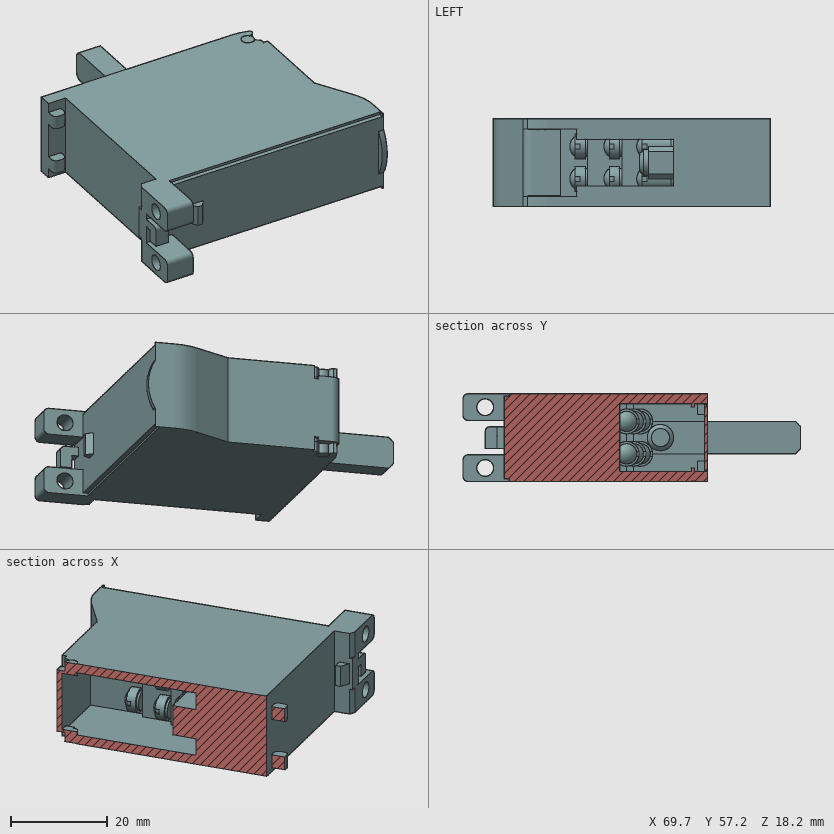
import cadquery as cq
import math

THICKNESS = 18.2
HALF = THICKNESS / 2
BODY_END = 42.0
BODY_TOP = 51.1
HUMP_TOP = 57.2
RAIL_SEAT = 4.1
CORNER_RADIUS = 2.0

HUMP_START = 24.45
HUMP_ANGLE = math.radians(30)
HUMP_RADIUS = 10.05

STEP_WIDTH = 1.05
STEP_DEPTH = 0.55
STEP_TOP_GAP = 0.35

LEG_LENGTH = 2.9
TAB_END = 5.2
TAB_HEIGHT = 3.0
TAB_WIDTH = 3.0
TAB_OFFSET = 5.45
TAB_RADIUS = 1.05

FOOT_START = 39.0
FOOT_END = 50.5
FOOT_HEIGHT = 6.2
FOOT_BEVEL_LENGTH = 1.1
FOOT_BEVEL_HEIGHT = 0.7
FOOT_RADIUS = 1.1
ARM_GAP = 7.05
SCREW_HOLE_X = 45.9
SCREW_HOLE_OFFSET = 6.3
SCREW_HOLE_DIAMETER = 3.4

LATCH_WIDTH = 4.5
LATCH_TIP = 37.1
LATCH_HEIGHT = 3.0
LATCH_TIP_BOTTOM = 1.95
HOOK_END = 45.9
HOOK_RADIUS = 1.0
HOOK_BAR = 1.9
BUMP_END = 43.5
BUMP_BOTTOM = 10.6
BUMP_TOP = 13.65
BUMP_SLOPE = 1.0
LIP_HEIGHT = 1.25
LIP_RADIUS = 10.05

HANDLE_LENGTH = 19.2
HANDLE_BOTTOM = 20.0
HANDLE_WIDTH = 5.15
HANDLE_HEIGHT = 6.7
HANDLE_CHAMFER = 1.05

FRONT_WALL = 2.1
CAVITY_WIDTH = 13.95
CAVITY_DEPTH = 18.1
CAVITY_TOP = 49.9
WIDE_WINDOW_BOTTOM = 40.0
NARROW_WINDOW_WIDTH = 9.6
COVER_BOTTOM = 43.3
COVER_THICKNESS = 0.7
COVER_GAP = 0.15

TERRACES = ((37.7, 16.7), (30.7, 15.3))
LAST_HEAD_FACE = 13.95
LAST_HEAD_HEIGHT = 6.5
HEAD_HEIGHT = 2.6
HEAD_RADIUS = 2.6
HEAD_OFFSET = 3.35
NECK_RADIUS = 2.1
NECK_HEIGHT = 0.5
DOME_RADIUS = 2.1
DOME_HEIGHT = 1.1
NOTCH_WIDTH = 1.05
NOTCH_DEPTH = 1.0

KNOB_X = 9.75
KNOB_RADIUS = 2.7
KNOB_HEIGHT = 1.8
KNOB_BEVEL = 0.85

PIN_X = 3.1
PIN_Y = 47.95
PIN_RADIUS = 1.4
PIN_SINK = 0.1
EAR_THICKNESS = 0.7
CHEEK_INSIDE = CAVITY_WIDTH / 2
EAR_INSIDE = CHEEK_INSIDE - EAR_THICKNESS
EAR_START = 0.7
COVER_END = 4.95
RECESS_END = 5.8
RECESS_FLOOR = 50.1
RECESS_MARGIN = 0.7
CHEEK_CURVE_START = 46.3
CHEEK_CURVE_RADIUS = 13.95
CHEEK_CREST_END = 1.4
FRONT_SHOULDER_RADIUS = 1.1
REAR_SHOULDER_RADIUS = 1.95
SADDLE_START = 2.1
SADDLE_END = 4.2
SADDLE_Y = 48.9


def box(x0, x1, y0, y1, z0, z1):
    """Box between two opposite corners."""
    return cq.Workplane("XY").box(x1 - x0, y1 - y0, z1 - z0, centered=False).translate((x0, y0, z0))


def centred_box(x0, x1, y0, y1, width):
    """Box of the given Z width, centred at mid-thickness."""
    return box(x0, x1, y0, y1, -width / 2, width / 2)


def both_sides(shape):
    """The shape together with its mirror image below mid-thickness."""
    return shape.union(shape.mirror("XY"))


def make_housing():
    rise = HUMP_TOP - BODY_TOP
    crest_x = HUMP_START + rise / math.tan(HUMP_ANGLE)
    tangent = HUMP_RADIUS * math.tan(HUMP_ANGLE / 2)
    arc_end = crest_x + tangent
    arc_mid = (
        arc_end - HUMP_RADIUS * math.sin(HUMP_ANGLE / 2),
        HUMP_TOP - HUMP_RADIUS * (1 - math.cos(HUMP_ANGLE / 2)),
    )
    arc_start = (
        crest_x - tangent * math.cos(HUMP_ANGLE),
        HUMP_TOP - tangent * math.sin(HUMP_ANGLE),
    )
    housing = (
        cq.Workplane("XY")
        .workplane(offset=-HALF)
        .moveTo(0, 0)
        .lineTo(LEG_LENGTH, 0)
        .lineTo(LEG_LENGTH, RAIL_SEAT)
        .lineTo(FOOT_START, RAIL_SEAT)
        .lineTo(FOOT_START, 0)
        .lineTo(BODY_END, 0)
        .lineTo(BODY_END, HUMP_TOP)
        .lineTo(arc_end, HUMP_TOP)
        .threePointArc(arc_mid, arc_start)
        .lineTo(HUMP_START, BODY_TOP)
        .lineTo(CORNER_RADIUS, BODY_TOP)
        .radiusArc((0, BODY_TOP - CORNER_RADIUS), -CORNER_RADIUS)
        .close()
        .extrude(THICKNESS)
    )
    strip = box(
        BODY_END - STEP_WIDTH, BODY_END,
        FOOT_HEIGHT, HUMP_TOP - STEP_TOP_GAP,
        HALF - STEP_DEPTH, HALF,
    )
    return housing.cut(both_sides(strip))


def make_tabs():
    tab = centred_box(LEG_LENGTH, TAB_END, 0, TAB_HEIGHT, TAB_WIDTH).edges("|Z and >X").fillet(TAB_RADIUS)
    return both_sides(tab.translate((0, 0, TAB_OFFSET)))


def make_foot():
    foot = centred_box(FOOT_START, FOOT_END, 0, FOOT_HEIGHT, THICKNESS)
    foot = foot.cut(centred_box(BODY_END, FOOT_END, 0, FOOT_HEIGHT, ARM_GAP))
    foot = foot.edges("|Y and >X").fillet(FOOT_RADIUS)
    holes = (
        cq.Workplane("XZ")
        .pushPoints([(SCREW_HOLE_X, SCREW_HOLE_OFFSET), (SCREW_HOLE_X, -SCREW_HOLE_OFFSET)])
        .circle(SCREW_HOLE_DIAMETER / 2)
        .extrude(-FOOT_HEIGHT)
    )
    return foot.cut(holes)


def make_foot_bevels():
    """Wedges removed from the lower front edge of both foot arms."""
    wedge = (
        cq.Workplane("XY")
        .polyline([(FOOT_START, 0), (FOOT_START + FOOT_BEVEL_LENGTH, 0), (FOOT_START, FOOT_BEVEL_HEIGHT)])
        .close()
        .extrude(HALF - ARM_GAP / 2)
    )
    return both_sides(wedge.translate((0, 0, ARM_GAP / 2)))


def make_latch():
    slope = FOOT_BEVEL_HEIGHT / FOOT_BEVEL_LENGTH
    root_bottom = LATCH_TIP_BOTTOM - slope * (FOOT_START - LATCH_TIP)
    nose = (
        cq.Workplane("XY")
        .workplane(offset=-LATCH_WIDTH / 2)
        .polyline([
            (LATCH_TIP, LATCH_HEIGHT),
            (LATCH_TIP, LATCH_TIP_BOTTOM),
            (FOOT_START, root_bottom),
            (FOOT_START, LATCH_HEIGHT),
        ])
        .close()
        .extrude(LATCH_WIDTH)
    )
    hook = centred_box(BODY_END, HOOK_END, 0, LATCH_HEIGHT, LATCH_WIDTH)
    hook = hook.edges("|Y and >X and >Z").fillet(HOOK_RADIUS)
    opening = box(BODY_END, BUMP_END, 0, LATCH_HEIGHT, -LATCH_WIDTH / 2, LATCH_WIDTH / 2 - HOOK_BAR)
    return nose.union(hook.cut(opening))


def make_bump():
    return (
        cq.Workplane("XY")
        .workplane(offset=-LATCH_WIDTH / 2)
        .polyline([
            (BODY_END, BUMP_BOTTOM),
            (BUMP_END, BUMP_BOTTOM + BUMP_SLOPE),
            (BUMP_END, BUMP_TOP - BUMP_SLOPE),
            (BODY_END, BUMP_TOP),
        ])
        .close()
        .extrude(LATCH_WIDTH)
    )


def make_lip():
    """Thumb lip with a rounded end at the top of the back face."""
    reach = BUMP_END - BODY_END
    half_chord = math.sqrt(LIP_RADIUS**2 - (LIP_RADIUS - reach) ** 2)
    return (
        cq.Workplane("XZ", origin=(0, HUMP_TOP, 0))
        .moveTo(BODY_END, -half_chord)
        .threePointArc((BUMP_END, 0), (BODY_END, half_chord))
        .close()
        .extrude(LIP_HEIGHT)
    )


def make_cavity():
    """Terminal chamber with its front window; the hinged cover is left standing."""
    chamber = centred_box(FRONT_WALL, CAVITY_DEPTH, HANDLE_BOTTOM, CAVITY_TOP, CAVITY_WIDTH)
    wide_window = centred_box(0, FRONT_WALL, WIDE_WINDOW_BOTTOM, CAVITY_TOP, CAVITY_WIDTH)
    narrow_window = centred_box(0, FRONT_WALL, HANDLE_BOTTOM, WIDE_WINDOW_BOTTOM, NARROW_WINDOW_WIDTH)
    cover = centred_box(0, CAVITY_DEPTH, COVER_BOTTOM, BODY_TOP, CAVITY_WIDTH - 2 * COVER_GAP)
    cover_inside = (
        centred_box(COVER_THICKNESS, CAVITY_DEPTH, COVER_BOTTOM, CAVITY_TOP, CAVITY_WIDTH)
        .edges("|Z and <X and >Y")
        .fillet(CORNER_RADIUS - COVER_THICKNESS)
    )
    return chamber.union(wide_window).union(narrow_window).cut(cover.cut(cover_inside))


def make_terminal_screw(height):
    """Notched, dome-headed screw standing upright on the origin."""
    sphere_radius = (DOME_RADIUS**2 + DOME_HEIGHT**2) / (2 * DOME_HEIGHT)
    half_angle = math.asin(DOME_RADIUS / sphere_radius) / 2
    dome_mid = (
        sphere_radius * math.sin(half_angle),
        height + DOME_HEIGHT - sphere_radius * (1 - math.cos(half_angle)),
    )
    screw = (
        cq.Workplane("XY")
        .moveTo(0, 0)
        .lineTo(NECK_RADIUS, 0)
        .lineTo(NECK_RADIUS, NECK_HEIGHT)
        .lineTo(HEAD_RADIUS, NECK_HEIGHT)
        .lineTo(HEAD_RADIUS, height)
        .lineTo(DOME_RADIUS, height)
        .threePointArc(dome_mid, (0, height + DOME_HEIGHT))
        .close()
        .revolve(360, (0, 0, 0), (0, 1, 0))
    )
    notch = centred_box(-HEAD_RADIUS, -DOME_RADIUS, height - NOTCH_DEPTH, height, NOTCH_WIDTH)
    return screw.cut(notch)


def make_terminals():
    """Stepped terraces at the back of the chamber and three rows of paired screws."""
    rows = [(ledge, face, HEAD_HEIGHT) for ledge, face in TERRACES]
    rows.append((HANDLE_BOTTOM, LAST_HEAD_FACE, LAST_HEAD_HEIGHT))
    terminals = cq.Workplane("XY")
    for ledge, face in TERRACES:
        terminals = terminals.union(
            centred_box(face, CAVITY_DEPTH, HANDLE_BOTTOM, ledge, CAVITY_WIDTH)
        )
    for ledge, x, height in rows:
        for side in (-1, 1):
            screw = make_terminal_screw(height)
            terminals = terminals.union(screw.translate((x, ledge, side * HEAD_OFFSET)))
    return terminals


def make_handle():
    handle = centred_box(
        -HANDLE_LENGTH, CAVITY_DEPTH, HANDLE_BOTTOM, HANDLE_BOTTOM + HANDLE_WIDTH, HANDLE_HEIGHT
    )
    return handle.edges("|Y and <X").chamfer(HANDLE_CHAMFER)


def make_knob():
    return (
        cq.Workplane("XZ", origin=(KNOB_X, HANDLE_BOTTOM + HANDLE_WIDTH, 0))
        .circle(KNOB_RADIUS)
        .extrude(-KNOB_HEIGHT)
        .faces(">Y")
        .chamfer(KNOB_BEVEL)
    )


def make_hinge_recess():
    """Cut-out in the upper cheek that clears the swinging cover around its hinge pin."""
    return (
        cq.Workplane("XY")
        .workplane(offset=CHEEK_INSIDE)
        .moveTo(-RECESS_MARGIN, CHEEK_CURVE_START)
        .lineTo(0, CHEEK_CURVE_START)
        .radiusArc((EAR_START, RECESS_FLOOR), CHEEK_CURVE_RADIUS)
        .lineTo(CHEEK_CREST_END, RECESS_FLOOR)
        .radiusArc((SADDLE_START, SADDLE_Y), FRONT_SHOULDER_RADIUS)
        .lineTo(PIN_X, PIN_Y)
        .lineTo(SADDLE_END, SADDLE_Y)
        .radiusArc((COVER_END, RECESS_FLOOR), REAR_SHOULDER_RADIUS)
        .lineTo(RECESS_END, RECESS_FLOOR)
        .lineTo(RECESS_END, BODY_TOP + RECESS_MARGIN)
        .lineTo(-RECESS_MARGIN, BODY_TOP + RECESS_MARGIN)
        .close()
        .extrude(HALF - CHEEK_INSIDE)
    )


def make_cover_gap():
    """Deeper pocket between the end of the upper cover ear and the housing."""
    return box(COVER_END, RECESS_END, RECESS_FLOOR, BODY_TOP, EAR_INSIDE, HALF)


def make_cover_ear():
    """Upper cover ear with a round end about the hinge pin."""
    plate = box(EAR_START, COVER_END, PIN_Y, RECESS_FLOOR, EAR_INSIDE, CHEEK_INSIDE)
    return plate.union(make_pin(EAR_INSIDE, CHEEK_INSIDE))


def make_pin(bottom, top):
    """Hinge pin between two heights."""
    return (
        cq.Workplane("XY")
        .workplane(offset=bottom)
        .center(PIN_X, PIN_Y)
        .circle(PIN_RADIUS)
        .extrude(top - bottom)
    )


result = make_housing().union(make_tabs()).union(make_foot()).cut(make_foot_bevels())
result = result.union(make_latch()).union(make_bump()).union(make_lip())
result = result.cut(make_cavity()).union(make_terminals()).union(make_handle()).union(make_knob())
result = result.union(both_sides(make_cover_ear()))
result = result.cut(both_sides(make_hinge_recess())).cut(both_sides(make_cover_gap()))
result = result.cut(both_sides(make_pin(HALF - PIN_SINK, HALF)))
result = result.union(both_sides(make_pin(CHEEK_INSIDE, HALF - PIN_SINK)))